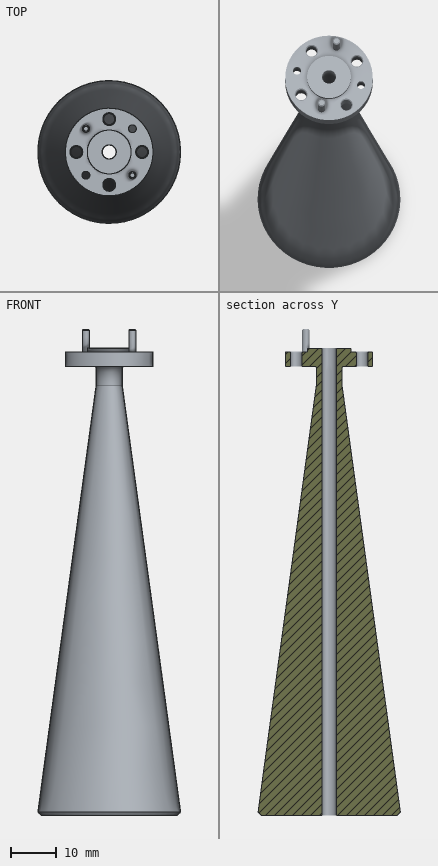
import cadquery as cq
import math

total_height = 105.74

flange_diameter = 19.05
flange_thickness = 3.2
boss_diameter = 9.53
boss_height = 0.8
pin_length = 4.9

pitch_diameter = 14.29
bolt_hole_diameter = 2.4
dowel_hole_diameter = 1.7
pin_diameter = 1.56
pin_chamfer = 0.25
bolt_hole_chamfer = 0.2
bolt_hole_angles = (0, 90, 180, 270)
dowel_hole_angles = (45, 225)
pin_angles = (135, 315)

mouth_diameter = 31.06
mouth_chamfer = 0.8
neck_diameter = 5.7
neck_length = 4.1
neck_fillet = 0.3
bore_diameter = 3.0

flange_top = total_height - pin_length
flange_bottom = flange_top - flange_thickness
neck_bottom = flange_bottom - neck_length
boss_top = flange_top + boss_height


def pitch_points(angles):
    """Points on the pitch circle at the given angles in degrees."""
    radius = pitch_diameter / 2
    return [
        (radius * math.cos(math.radians(a)), radius * math.sin(math.radians(a)))
        for a in angles
    ]


def cylinders(diameter, bottom, top, points):
    """Upright cylinders between two levels, one at each point."""
    return (
        cq.Workplane("XY", origin=(0, 0, bottom))
        .pushPoints(points)
        .circle(diameter / 2)
        .extrude(top - bottom)
    )


def make_body():
    """Horn, neck, flange and boss, turned about the Z axis."""
    mouth_radius = mouth_diameter / 2
    neck_radius = neck_diameter / 2
    flange_radius = flange_diameter / 2
    boss_radius = boss_diameter / 2
    arc_inset = neck_fillet * math.sqrt(0.5)
    arc_radius = neck_radius + neck_fillet - arc_inset
    arc_level = flange_bottom - neck_fillet + arc_inset
    return (
        cq.Workplane("XZ")
        .moveTo(0, 0)
        .lineTo(mouth_radius - mouth_chamfer, 0)
        .lineTo(mouth_radius, mouth_chamfer)
        .lineTo(neck_radius, neck_bottom)
        .lineTo(neck_radius, flange_bottom - neck_fillet)
        .threePointArc((arc_radius, arc_level), (neck_radius + neck_fillet, flange_bottom))
        .lineTo(flange_radius, flange_bottom)
        .lineTo(flange_radius, flange_top)
        .lineTo(boss_radius, flange_top)
        .lineTo(boss_radius, boss_top)
        .lineTo(0, boss_top)
        .close()
        .revolve(360, (0, 0, 0), (0, 1, 0))
    )


def make_flange_holes():
    """Chamfered bolt holes and plain dowel holes through the full flange thickness."""
    bolt_points = pitch_points(bolt_hole_angles)
    dowel_points = pitch_points(dowel_hole_angles)
    bolt_holes = cylinders(bolt_hole_diameter, flange_bottom, flange_top, bolt_points)
    dowel_holes = cylinders(dowel_hole_diameter, flange_bottom, flange_top, dowel_points)
    holes = bolt_holes.union(dowel_holes)
    bolt_hole_radius = bolt_hole_diameter / 2
    for x, y in bolt_points:
        cone = cq.Solid.makeCone(
            bolt_hole_radius,
            bolt_hole_radius + bolt_hole_chamfer,
            bolt_hole_chamfer,
            pnt=cq.Vector(x, y, flange_top - bolt_hole_chamfer),
        )
        holes = holes.union(cq.Workplane(cone))
    return holes


def make_pins():
    """Chamfered dowel pins seated in the flange and standing above it."""
    pins = cylinders(pin_diameter, flange_bottom, total_height, pitch_points(pin_angles))
    return pins.faces(">Z").chamfer(pin_chamfer)


def make_bore():
    """Straight waveguide bore along the whole axis."""
    return cylinders(bore_diameter, 0, boss_top, [(0, 0)])


result = make_body().cut(make_flange_holes()).cut(make_bore()).union(make_pins())